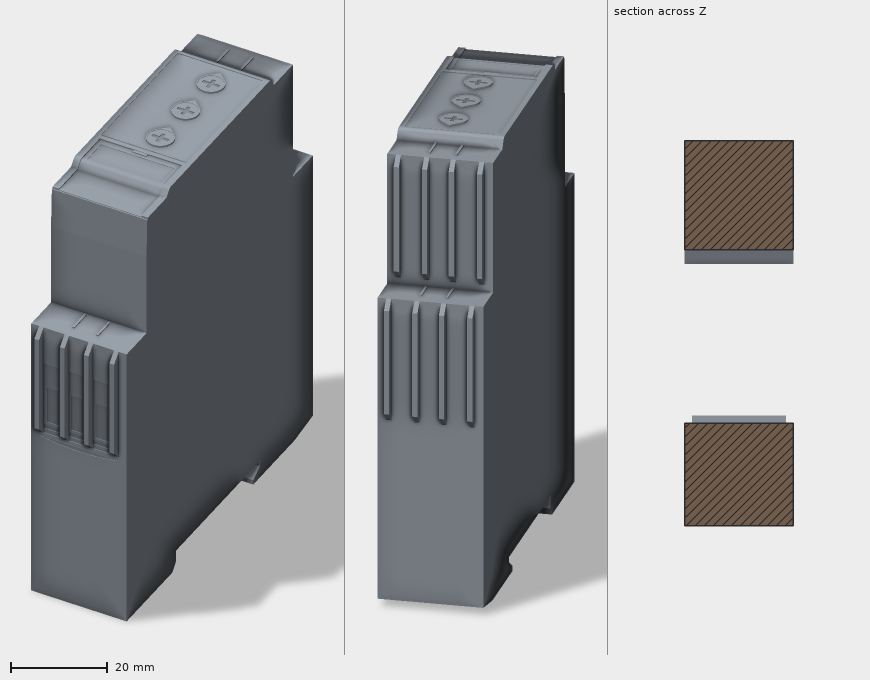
import cadquery as cq

WIDTH = 22.5
TOTAL_DEPTH = 83.56
TOTAL_HEIGHT = 99.4

FIN_HEIGHT = 2.0
LOWER_HALF_DEPTH = TOTAL_DEPTH / 2 - FIN_HEIGHT
UPPER_HALF_DEPTH = 31.3
LOWER_SHOULDER_Z = 68.25
KNOB_HEIGHT = 0.3
HOOD_Z = TOTAL_HEIGHT - KNOB_HEIGHT
REAR_SHOULDER_Z = 96.9
FRONT_SHOULDER_Z = 97.4
FRONT_LEDGE_Z = 96.95
FRONT_LEDGE_DEPTH = 0.25

HOOD_CENTRE_Y = 0.2
HOOD_FLAT_HALF = 20.9
HOOD_ARC_LENGTH = 1.0
HOOD_ARC_DROP = 0.45
HOOD_SLOPE_LENGTH = 1.1
HOOD_ARC_Z = HOOD_Z - HOOD_ARC_DROP
HOOD_REAR_FLAT_Y = HOOD_CENTRE_Y + HOOD_FLAT_HALF
HOOD_REAR_ARC_Y = HOOD_REAR_FLAT_Y + HOOD_ARC_LENGTH
HOOD_REAR_FOOT_Y = HOOD_REAR_ARC_Y + HOOD_SLOPE_LENGTH
HOOD_FRONT_FLAT_Y = HOOD_CENTRE_Y - HOOD_FLAT_HALF
HOOD_FRONT_ARC_Y = HOOD_FRONT_FLAT_Y - HOOD_ARC_LENGTH
HOOD_FRONT_FOOT_Y = HOOD_FRONT_ARC_Y - HOOD_SLOPE_LENGTH

LEAN_START_Z = 87.7
LEAN = 0.35

RAIL_Z = 4.6
REAR_FOOT_Z = 0.4
REAR_FOOT_CORNER = (LOWER_HALF_DEPTH, 1.7)
REAR_FOOT_FLAT_Y = 32.0
REAR_HOOK_TIP_Y = 14.3
REAR_HOOK_TIP_Z = 1.5
RAIL_REAR_Y = 17.2
RAIL_REAR_HOOK_Z = 3.3
RAIL_FRONT_Y = -18.6
FRONT_FOOT_Y = -20.2
FRONT_FOOT_BEVEL_Z = 1.95
LIP_TIP_Y = -17.0
LIP_TIP_Z = 3.75
LIP_SIDE_WALL = 1.5

FIN_THICKNESS = 1.1
FIN_X = (-8.85, -2.83, 2.83, 8.85)
LOWER_FIN_BOTTOM_Z = 41.4
UPPER_FIN_BOTTOM_Z = 69.8
RIB_X = FIN_X[1:3]
RIB_WIDTH = 0.5
RIB_HEIGHT = 0.3
RIB_LENGTH = 5.3
RIB_GAP = 0.5
UPPER_RIB_LENGTH = 6.0

PANEL_STEP = 0.15
PANEL_TOP_Z = 59.1
SILL_Z = 42.45
SILL_HEIGHT = 1.05
WINDOW_WIDTH = 3.8
WINDOW_HEIGHT = 8.8
WINDOW_BOTTOM_Z = 44.2
WINDOW_X = (-5.7, 0, 5.7)
ARC_NOTCH_TOP_Z = 40.3
ARC_NOTCH_SAG = 0.9
ARC_NOTCH_DEPTH = 0.1

PANEL_HALF_WIDTH = 10.1
PANEL_REAR_Y = 20.8
PANEL_FRONT_Y = -12.2
PANEL_END_GAP = 0.4
PANEL_CORNER = 0.5
PANEL_DEPTH = 0.2
PLATE_THICKNESS = 0.1

KNOB_X = 1.25
KNOB_Y = (14.4, 3.6, -7.2)
KNOB_RADIUS = 3.0
KNOB_DISH_DIAMETER = 5.5
KNOB_DISH_DEPTH = 0.1
KNOB_POINTER = 4.1
CROSS_LENGTH_X = 3.9
CROSS_LENGTH_Y = 3.0
CROSS_WIDTH = 0.8

FLAP_WIDTH = 19.4
FLAP_REAR_Y = -13.2
FLAP_FRONT_Y = LEAN + FRONT_LEDGE_DEPTH - UPPER_HALF_DEPTH
FLAP_DEPTH = 0.3
LABEL_WIDTH = 17.4
LABEL_REAR_Y = -14.6
LABEL_FRONT_Y = -20.3
LABEL_DEPTH = 0.1
TAB_WIDTH = 3.2
TAB_LENGTH = 0.7
TAB_DROP = 0.1


def block(x0, x1, y0, y1, z0, z1):
    """Axis-aligned box between two opposite corners."""
    return cq.Workplane("XY").box(x1 - x0, y1 - y0, z1 - z0, centered=False).translate((x0, y0, z0))


def centred_block(width, y0, y1, z0, z1, x=0):
    """Axis-aligned box whose width is centred on x."""
    return block(x - width / 2, x + width / 2, y0, y1, z0, z1)


def side_extrusion(outline, width, x=0):
    """Extrude a closed YZ outline to a width centred on x."""
    return outline.extrude(width / 2, both=True).translate((x, 0, 0))


def housing():
    """Stepped body with the hood on top and the rail slot in the foot."""
    lean_top_y = LEAN - UPPER_HALF_DEPTH
    outline = (
        cq.Workplane("YZ")
        .moveTo(-LOWER_HALF_DEPTH, 0)
        .lineTo(-LOWER_HALF_DEPTH, LOWER_SHOULDER_Z)
        .lineTo(-UPPER_HALF_DEPTH, LOWER_SHOULDER_Z)
        .lineTo(-UPPER_HALF_DEPTH, LEAN_START_Z)
        .lineTo(lean_top_y, FRONT_LEDGE_Z)
        .lineTo(lean_top_y + FRONT_LEDGE_DEPTH, FRONT_LEDGE_Z)
        .lineTo(lean_top_y + FRONT_LEDGE_DEPTH, FRONT_SHOULDER_Z)
        .lineTo(HOOD_FRONT_FOOT_Y, FRONT_SHOULDER_Z)
        .lineTo(HOOD_FRONT_ARC_Y, HOOD_ARC_Z)
        .tangentArcPoint((HOOD_FRONT_FLAT_Y, HOOD_Z), relative=False)
        .lineTo(HOOD_REAR_FLAT_Y, HOOD_Z)
        .tangentArcPoint((HOOD_REAR_ARC_Y, HOOD_ARC_Z), relative=False)
        .lineTo(HOOD_REAR_FOOT_Y, REAR_SHOULDER_Z)
        .lineTo(UPPER_HALF_DEPTH, REAR_SHOULDER_Z)
        .lineTo(UPPER_HALF_DEPTH, LOWER_SHOULDER_Z)
        .lineTo(LOWER_HALF_DEPTH, LOWER_SHOULDER_Z)
        .lineTo(*REAR_FOOT_CORNER)
        .lineTo(REAR_FOOT_FLAT_Y, REAR_FOOT_Z)
        .lineTo(REAR_HOOK_TIP_Y, REAR_FOOT_Z)
        .lineTo(REAR_HOOK_TIP_Y, REAR_HOOK_TIP_Z)
        .lineTo(RAIL_REAR_Y, RAIL_REAR_HOOK_Z)
        .lineTo(RAIL_REAR_Y, RAIL_Z)
        .lineTo(RAIL_FRONT_Y, RAIL_Z)
        .lineTo(RAIL_FRONT_Y, FRONT_FOOT_BEVEL_Z)
        .lineTo(FRONT_FOOT_Y, 0)
        .close()
    )
    return side_extrusion(outline, WIDTH)


def rail_lip():
    """Hooked lip on the front wall of the rail slot, set in from both sides."""
    outline = cq.Workplane("YZ").polyline([
        (FRONT_FOOT_Y, 0),
        (LIP_TIP_Y, LIP_TIP_Z),
        (RAIL_FRONT_Y, LIP_TIP_Z),
        (FRONT_FOOT_Y, LIP_TIP_Z),
    ]).close()
    return side_extrusion(outline, WIDTH - 2 * LIP_SIDE_WALL)


def fins(wall_y, bottom_z, top_z):
    """Row of fins on a wall, with 45 degree ends, rooted at mid depth inside the body."""
    outer_y = wall_y + (FIN_HEIGHT if wall_y > 0 else -FIN_HEIGHT)
    row = cq.Workplane("XY")
    for x in FIN_X:
        outline = cq.Workplane("YZ").polyline([
            (0, bottom_z),
            (wall_y, bottom_z),
            (outer_y, bottom_z + FIN_HEIGHT),
            (outer_y, top_z - FIN_HEIGHT),
            (wall_y, top_z),
            (0, top_z),
        ]).close()
        row = row.add(side_extrusion(outline, FIN_THICKNESS, x))
    return row.combine()


def ribs(y0, y1, shoulder_z):
    """Pair of thin raised ribs lying on a shoulder."""
    pair = cq.Workplane("XY")
    bottom_z = shoulder_z - RIB_HEIGHT
    top_z = shoulder_z + RIB_HEIGHT
    for x in RIB_X:
        pair = pair.add(centred_block(RIB_WIDTH, y0, y1, bottom_z, top_z, x))
    return pair.combine()


def terminal_recesses():
    """Shallow steps, windows and sill groove of the front terminal panels."""
    face_y = -LOWER_HALF_DEPTH
    step_y = face_y + PANEL_STEP
    deep_y = step_y + PANEL_STEP
    span = FIN_X[-1] - FIN_X[0]
    cut = centred_block(span, face_y, step_y, LOWER_FIN_BOTTOM_Z, PANEL_TOP_Z)
    cut = cut.union(centred_block(span, face_y, deep_y, SILL_Z, SILL_Z + SILL_HEIGHT))
    for x in WINDOW_X:
        window_top_z = WINDOW_BOTTOM_Z + WINDOW_HEIGHT
        cut = cut.union(centred_block(WINDOW_WIDTH, face_y, deep_y, WINDOW_BOTTOM_Z, window_top_z, x))
    return cut


def arc_notch():
    """Shallow notch below the fins, straight on top and bowed underneath."""
    half_span = FIN_X[-1] + FIN_THICKNESS / 2
    return (
        cq.Workplane("XZ", origin=(0, -LOWER_HALF_DEPTH, 0))
        .moveTo(-half_span, ARC_NOTCH_TOP_Z)
        .threePointArc((0, ARC_NOTCH_TOP_Z - ARC_NOTCH_SAG), (half_span, ARC_NOTCH_TOP_Z))
        .close()
        .extrude(-ARC_NOTCH_DEPTH)
    )


def control_panel_recess():
    """Rounded recess in the hood around a slightly shorter inset plate."""
    pocket = block(
        -PANEL_HALF_WIDTH, PANEL_HALF_WIDTH, PANEL_FRONT_Y, PANEL_REAR_Y, HOOD_Z - PANEL_DEPTH, HOOD_Z
    ).edges("|Z").fillet(PANEL_CORNER)
    plate_bottom_z = HOOD_Z - PANEL_DEPTH
    plate = block(
        -PANEL_HALF_WIDTH, PANEL_HALF_WIDTH,
        PANEL_FRONT_Y + PANEL_END_GAP, PANEL_REAR_Y - PANEL_END_GAP,
        plate_bottom_z, plate_bottom_z + PLATE_THICKNESS,
    )
    return pocket.cut(plate)


def knob(y):
    """Teardrop knob with a pointer towards +Y, a shallow round dish and a cross slot."""
    base_z = HOOD_Z - PANEL_DEPTH - PLATE_THICKNESS
    height = TOTAL_HEIGHT - base_z
    tangent_y = KNOB_RADIUS ** 2 / KNOB_POINTER
    tangent_x = (KNOB_RADIUS ** 2 - tangent_y ** 2) ** 0.5
    body = (
        cq.Workplane("XY")
        .moveTo(0, KNOB_POINTER)
        .lineTo(-tangent_x, tangent_y)
        .threePointArc((0, -KNOB_RADIUS), (tangent_x, tangent_y))
        .close()
        .extrude(height)
    )
    dish_plane = cq.Workplane("XY").workplane(offset=height - KNOB_DISH_DEPTH)
    dish = dish_plane.circle(KNOB_DISH_DIAMETER / 2).extrude(KNOB_DISH_DEPTH)
    slot_plane = cq.Workplane("XY").workplane(offset=height - KNOB_HEIGHT)
    slot_along_x = slot_plane.rect(CROSS_LENGTH_X, CROSS_WIDTH).extrude(KNOB_HEIGHT)
    slot_along_y = slot_plane.rect(CROSS_WIDTH, CROSS_LENGTH_Y).extrude(KNOB_HEIGHT)
    return body.cut(dish).cut(slot_along_x).cut(slot_along_y).translate((KNOB_X, y, base_z))


def flap_recess(body):
    """Strip of even drop that follows the hood, its front flank and the shoulder."""
    strip = centred_block(FLAP_WIDTH, FLAP_FRONT_Y, FLAP_REAR_Y, LEAN_START_Z, TOTAL_HEIGHT)
    tab_front_y = FLAP_REAR_Y - TAB_LENGTH
    strip = strip.cut(centred_block(TAB_WIDTH, tab_front_y, FLAP_REAR_Y, LEAN_START_Z, HOOD_Z - TAB_DROP))
    label_z = HOOD_Z - FLAP_DEPTH - LABEL_DEPTH
    label = centred_block(LABEL_WIDTH, LABEL_FRONT_Y, LABEL_REAR_Y, label_z, HOOD_Z)
    return strip.cut(body.translate((0, 0, -FLAP_DEPTH))).union(label)


body = housing()
body = body.cut(flap_recess(body))
body = body.cut(control_panel_recess())
body = body.cut(terminal_recesses()).cut(arc_notch())
body = body.union(rail_lip())

body = body.union(fins(-LOWER_HALF_DEPTH, LOWER_FIN_BOTTOM_Z, LOWER_SHOULDER_Z))
body = body.union(fins(LOWER_HALF_DEPTH, LOWER_FIN_BOTTOM_Z, LOWER_SHOULDER_Z))
body = body.union(fins(UPPER_HALF_DEPTH, UPPER_FIN_BOTTOM_Z, REAR_SHOULDER_Z))

lower_rib_start = UPPER_HALF_DEPTH + RIB_GAP
lower_rib_end = lower_rib_start + RIB_LENGTH
body = body.union(ribs(lower_rib_start, lower_rib_end, LOWER_SHOULDER_Z))
body = body.union(ribs(-lower_rib_end, -lower_rib_start, LOWER_SHOULDER_Z))
body = body.union(ribs(HOOD_REAR_FOOT_Y, HOOD_REAR_FOOT_Y + UPPER_RIB_LENGTH, REAR_SHOULDER_Z))

for knob_y in KNOB_Y:
    body = body.union(knob(knob_y))

result = body